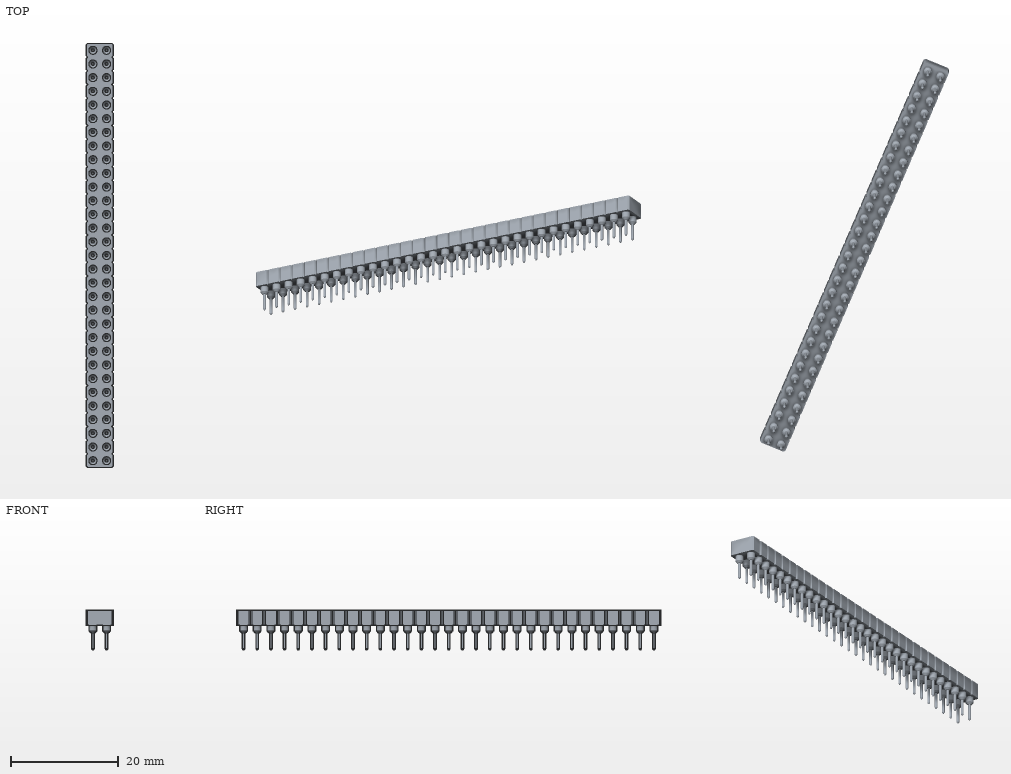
import cadquery as cq

overall_length = 78.75
column_count = 2
row_count = 31
pitch = overall_length / row_count

body_height = 2.8
corner_chamfer = 0.275

overall_height = 7.4
collar_end_depth = 3.85
shoulder_end_depth = 4.25

collar_diameter = 1.5
shoulder_end_diameter = 0.8
pin_diameter = 0.51
pin_tip_diameter = 0.2
pin_tip_length = 0.2

funnel_diameter = 1.5
socket_diameter = 0.51
funnel_depth = 0.8
socket_depth = 2.4

body_width = column_count * pitch
top_z = overall_height
body_bottom_z = top_z - body_height


def contact_centers():
    """Return the XY center of every cell, with the grid centered on the origin."""
    first_x = -(column_count - 1) * pitch / 2
    first_y = -(row_count - 1) * pitch / 2
    return [
        (first_x + column * pitch, first_y + row * pitch)
        for column in range(column_count)
        for row in range(row_count)
    ]


def body_side(side):
    """Return the outline points of one long side (+1 or -1 in X), from -Y to +Y."""
    points = []
    for row in range(row_count):
        start_y = -overall_length / 2 + row * pitch
        end_y = start_y + pitch
        edge_x = side * body_width / 2
        notch_x = side * (body_width / 2 - corner_chamfer)
        points.append((notch_x, start_y))
        points.append((edge_x, start_y + corner_chamfer))
        points.append((edge_x, end_y - corner_chamfer))
    points.append((side * (body_width / 2 - corner_chamfer), overall_length / 2))
    return points


def make_body():
    """Strip with chamfered ends and a V notch between neighboring rows."""
    outline = body_side(1) + body_side(-1)[::-1]
    return cq.Workplane("XY").workplane(offset=body_bottom_z).polyline(outline).close().extrude(body_height)


def make_pin():
    """Collar, tapered shoulder and thin pin with a beveled tip, revolved about Z."""
    collar_end_z = top_z - collar_end_depth
    shoulder_end_z = top_z - shoulder_end_depth
    profile = [
        (0, 0),
        (pin_tip_diameter / 2, 0),
        (pin_diameter / 2, pin_tip_length),
        (pin_diameter / 2, shoulder_end_z),
        (shoulder_end_diameter / 2, shoulder_end_z),
        (collar_diameter / 2, collar_end_z),
        (collar_diameter / 2, body_bottom_z),
        (0, body_bottom_z),
    ]
    return cq.Workplane("XZ").polyline(profile).close().revolve(360, (0, 0, 0), (0, 1, 0)).val()


def make_socket_cutter():
    """Conical lead-in narrowing to a blind round socket, revolved about Z."""
    funnel_end_z = top_z - funnel_depth
    socket_end_z = top_z - socket_depth
    profile = [
        (0, socket_end_z),
        (socket_diameter / 2, socket_end_z),
        (socket_diameter / 2, funnel_end_z),
        (funnel_diameter / 2, top_z),
        (0, top_z),
    ]
    return cq.Workplane("XZ").polyline(profile).close().revolve(360, (0, 0, 0), (0, 1, 0)).val()


def repeat_on_grid(shape):
    """Return one copy of the shape at every contact center."""
    return [shape.translate(cq.Vector(x, y, 0)) for x, y in contact_centers()]


body = make_body().val()
with_pins = body.fuse(*repeat_on_grid(make_pin()))
with_sockets = with_pins.cut(*repeat_on_grid(make_socket_cutter()))
result = cq.Workplane("XY").newObject(with_sockets.Solids())